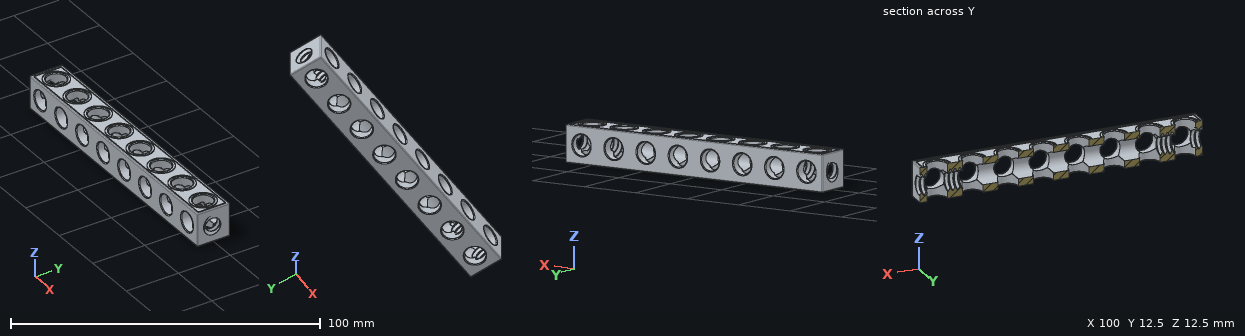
import cadquery as cq

LENGTH = 100.0
HOLE_COUNT = 8
GRID_PITCH = LENGTH / HOLE_COUNT
WIDTH = GRID_PITCH
EDGE_FILLET = 0.3

CROSS_HOLE_DIAMETER = 7.0
RIM_CHAMFER = 0.3

PANEL_MARGIN = 1.0
PANEL_DEPTH = 0.2
COLLAR_DIAMETER = 9.2

THREADED_LENGTH = 1.5 * GRID_PITCH
PLAIN_BORE_DIAMETER = 7.0
THREAD_MAJOR_RADIUS = 7.4 / 2
THREAD_MINOR_RADIUS = 5.1 / 2
THREAD_PITCH = 1.7
THREAD_ROOT_FLAT = THREAD_PITCH / 8
THREAD_MOUTH = THREAD_PITCH * 7 / 8
THREAD_START_ANGLE = -44.0
BORE_OVERLAP = 0.1
RUNOUT_GAP = 1.0

HALF_WIDTH = WIDTH / 2
HOLE_POSITIONS = [(GRID_PITCH * (i - (HOLE_COUNT - 1) / 2), 0) for i in range(HOLE_COUNT)]


def make_bar():
    return cq.Workplane("XY").box(LENGTH, WIDTH, WIDTH).edges().fillet(EDGE_FILLET)


def make_top_panel():
    """Material removed from the top face, leaving the collars standing."""
    floor = cq.Workplane("XY").workplane(offset=HALF_WIDTH - PANEL_DEPTH)
    panel = floor.rect(LENGTH - 2 * PANEL_MARGIN, WIDTH - 2 * PANEL_MARGIN).extrude(PANEL_DEPTH)
    collars = floor.pushPoints(HOLE_POSITIONS).circle(COLLAR_DIAMETER / 2).extrude(PANEL_DEPTH)
    return panel.cut(collars)


def make_cross_holes():
    """Cutters along Z, flared at both faces, one per grid cell."""
    radius = CROSS_HOLE_DIAMETER / 2
    rim_radius = radius + RIM_CHAMFER
    profile = [
        (0, -HALF_WIDTH),
        (rim_radius, -HALF_WIDTH),
        (radius, -HALF_WIDTH + RIM_CHAMFER),
        (radius, HALF_WIDTH - RIM_CHAMFER),
        (rim_radius, HALF_WIDTH),
        (0, HALF_WIDTH),
    ]
    cutter = cq.Workplane("XZ").polyline(profile).close().revolve(360, (0, 0, 0), (0, 1, 0))
    cutters = cq.Workplane("XY")
    for x, y in HOLE_POSITIONS:
        cutters = cutters.add(cutter.translate((x, y, 0)))
    return cutters.combine()


def make_thread_groove():
    """Right-handed helical groove entering the -X end and running out in the second cross hole."""
    inner_radius = THREAD_MINOR_RADIUS - BORE_OVERLAP
    flank_slope = (THREAD_MOUTH - THREAD_ROOT_FLAT) / (THREAD_MAJOR_RADIUS - THREAD_MINOR_RADIUS)
    half_mouth = (THREAD_MOUTH + flank_slope * BORE_OVERLAP) / 2
    half_root = THREAD_ROOT_FLAT / 2
    lead_in = THREAD_PITCH
    helix = cq.Wire.makeHelix(THREAD_PITCH, lead_in + THREADED_LENGTH - RUNOUT_GAP, THREAD_MINOR_RADIUS)
    groove = (
        cq.Workplane("XZ")
        .polyline([
            (inner_radius, -half_mouth),
            (THREAD_MAJOR_RADIUS, -half_root),
            (THREAD_MAJOR_RADIUS, half_root),
            (inner_radius, half_mouth),
        ])
        .close()
        .sweep(cq.Workplane(helix), isFrenet=True)
    )
    return (
        groove.rotate((0, 0, 0), (1, 1, 1), 120)
        .rotate((0, 0, 0), (1, 0, 0), THREAD_START_ANGLE)
        .translate((-LENGTH / 2 - lead_in, 0, 0))
    )


vertical_holes = make_cross_holes()
horizontal_holes = vertical_holes.rotate((0, 0, 0), (1, 0, 0), 90)
plain_half_length = LENGTH / 2 - THREADED_LENGTH
thread_bore = cq.Workplane("YZ").circle(THREAD_MINOR_RADIUS).extrude(LENGTH / 2, both=True)
plain_bore = cq.Workplane("YZ").circle(PLAIN_BORE_DIAMETER / 2).extrude(plain_half_length, both=True)
near_thread = make_thread_groove()
far_thread = near_thread.rotate((0, 0, 0), (0, 0, 1), 180)

beam = make_bar().cut(make_top_panel())
for cutter in (plain_bore, thread_bore, near_thread, far_thread, vertical_holes, horizontal_holes):
    beam = beam.cut(cutter)

result = beam.solids()